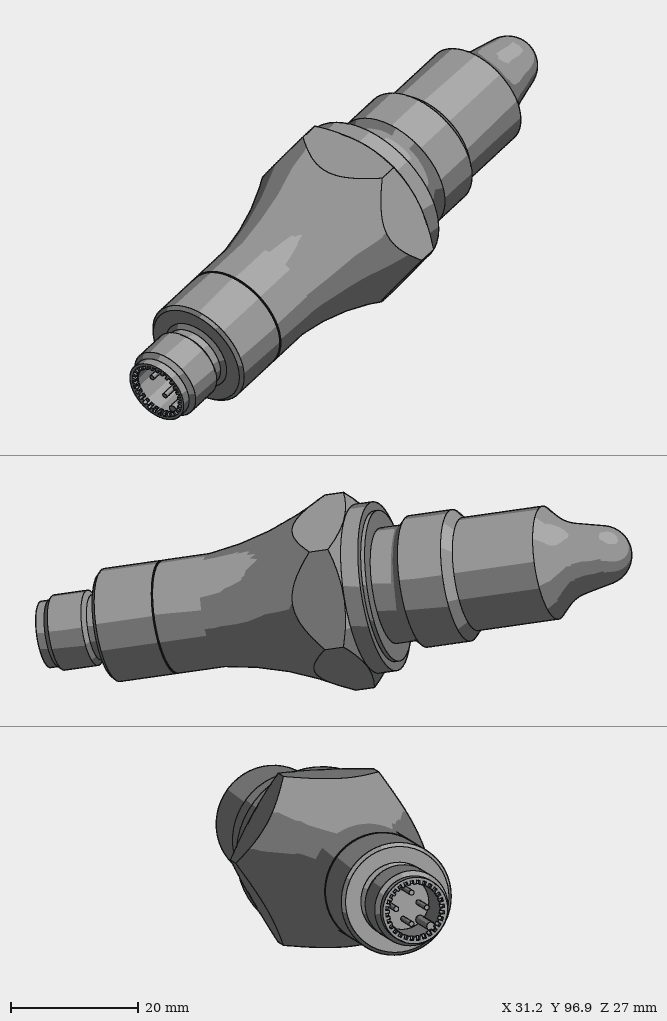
import cadquery as cq
import math


plug_rim_radius = 10.6 / 2
plug_rim_length = 1.4
plug_ring_radius = 12 / 2
plug_ring_start = 2.2
plug_ring_end = 7.75
plug_neck_radius = 10.4 / 2
plug_neck_start = 8.4
plug_neck_end = 9.8
plug_foot_radius = 5.95

socket_radius = 4.2
socket_depth = 7.0
tooth_count = 28
notch_outer_radius = 9.6 / 2
notch_width = 0.55
notch_depth = 0.8
pin_count = 4
pin_circle_radius = 2.5
pin_radius = 0.4
pin_recess = 2.1
key_radius = 0.7
key_circle_radius = 3.9
key_angle = -45
key_recess = 0.6

sleeve_radius = 18 / 2
sleeve_start = 10.4
sleeve_chamfer = 0.55
sleeve_end = 28.45
joint_position = 20.4
joint_width = 0.2
joint_depth = 0.1

hex_sides = 6
across_flats = 27.0
corner_radius = across_flats / 2 / math.cos(math.pi / hex_sides)
blank_allowance = 0.05
blank_radius = corner_radius + blank_allowance
flare_mid_radius = 12.4
flare_mid_position = 42.15
flare_end = 48.85
hex_front = 53.25
hex_chamfer_angle = math.radians(33)

flange_radius = 26.9 / 2
flange_front = 56.1
seat_radius = 24 / 2
seat_front = 56.75
neck_radius = 18.4 / 2
neck_end = 60.0
undercut_radius = 1.0
collar_radius = 20.95 / 2
collar_front = 68.82
shank_radius = 18 / 2
shank_end = 83.6

total_length = 96.85
tip_radius = 9.4 / 2
tip_half_angle = math.radians(12.3)
tip_cone_start = 88.5
shoulder_angle = math.radians(45)


def revolve_about_y(profile):
    """Close an outline drawn from the axis to the axis and turn it around Y."""
    return profile.close().revolve(360, (0, 0, 0), (0, 1, 0))


def plug_and_sleeve():
    outline = (
        cq.Workplane("XY")
        .lineTo(plug_rim_radius, 0)
        .lineTo(plug_rim_radius, plug_rim_length)
        .lineTo(plug_ring_radius, plug_ring_start)
        .lineTo(plug_ring_radius, plug_ring_end)
        .lineTo(plug_neck_radius, plug_neck_start)
        .lineTo(plug_neck_radius, plug_neck_end)
        .lineTo(plug_foot_radius, sleeve_start)
        .lineTo(sleeve_radius - sleeve_chamfer, sleeve_start)
        .lineTo(sleeve_radius, sleeve_start + sleeve_chamfer)
        .lineTo(sleeve_radius, joint_position)
        .lineTo(sleeve_radius - joint_depth, joint_position)
        .lineTo(sleeve_radius - joint_depth, joint_position + joint_width)
        .lineTo(sleeve_radius, joint_position + joint_width)
        .lineTo(sleeve_radius, sleeve_end)
        .lineTo(0, sleeve_end)
    )
    return revolve_about_y(outline)


def hex_body():
    """Hexagon prism trimmed by a flared rear and a chamfered front."""
    chamfer_length = (blank_radius - flange_radius) * math.tan(hex_chamfer_angle)
    outline = (
        cq.Workplane("XY")
        .moveTo(0, sleeve_end)
        .lineTo(sleeve_radius, sleeve_end)
        .threePointArc((flare_mid_radius, flare_mid_position), (blank_radius, flare_end))
        .lineTo(blank_radius, hex_front - chamfer_length)
        .lineTo(flange_radius, hex_front)
        .lineTo(0, hex_front)
    )
    prism = (
        cq.Workplane("XZ", origin=(0, sleeve_end, 0))
        .polygon(hex_sides, 2 * corner_radius)
        .extrude(sleeve_end - hex_front)
    )
    return revolve_about_y(outline).intersect(prism)


def shank_and_tip():
    fillet_edge_radius = neck_radius + undercut_radius * (1 - math.cos(shoulder_angle))
    fillet_edge = neck_end + undercut_radius * math.sin(shoulder_angle)
    collar_chamfer = collar_radius - fillet_edge_radius
    dome_centre = total_length - tip_radius
    dome_edge_radius = tip_radius * math.cos(tip_half_angle)
    dome_edge = dome_centre + tip_radius * math.sin(tip_half_angle)
    cone_base_radius = dome_edge_radius + (dome_edge - tip_cone_start) * math.tan(tip_half_angle)
    chord_slope = math.tan((tip_half_angle + shoulder_angle) / 2)
    arc_length = (shank_radius - cone_base_radius - (tip_cone_start - shank_end)) / (chord_slope - 1)
    arc_base_radius = cone_base_radius + arc_length * chord_slope
    arc_base = tip_cone_start - arc_length
    dome_mid_angle = (tip_half_angle + math.pi / 2) / 2
    dome_mid = (
        tip_radius * math.cos(dome_mid_angle),
        dome_centre + tip_radius * math.sin(dome_mid_angle),
    )
    outline = (
        cq.Workplane("XY")
        .moveTo(0, hex_front)
        .lineTo(flange_radius, hex_front)
        .lineTo(flange_radius, flange_front)
        .lineTo(seat_radius, flange_front)
        .lineTo(seat_radius, seat_front)
        .lineTo(neck_radius, seat_front)
        .lineTo(neck_radius, neck_end)
        .tangentArcPoint((fillet_edge_radius, fillet_edge), relative=False)
        .lineTo(collar_radius, fillet_edge + collar_chamfer)
        .lineTo(collar_radius, collar_front)
        .lineTo(shank_radius, collar_front + collar_radius - shank_radius)
        .lineTo(shank_radius, shank_end)
        .lineTo(arc_base_radius, arc_base)
        .tangentArcPoint((cone_base_radius, tip_cone_start), relative=False)
        .lineTo(dome_edge_radius, dome_edge)
        .threePointArc(dome_mid, (0, total_length))
    )
    return revolve_about_y(outline)


def socket():
    """Round cavity open at the plug end."""
    return cq.Workplane("XZ").circle(socket_radius).extrude(-socket_depth)


def rim_notches():
    """Radial notches around the mouth of the socket."""
    half_pitch = 180 / tooth_count
    notch_inner_radius = socket_radius / 2
    notch_length = notch_outer_radius - notch_inner_radius
    notch_centre = (notch_outer_radius + notch_inner_radius) / 2
    return (
        cq.Workplane("XZ")
        .polarArray(notch_centre, half_pitch, 360, tooth_count)
        .rect(notch_length, notch_width)
        .extrude(-notch_depth)
    )


def contact_pins():
    return (
        cq.Workplane("XZ", origin=(0, pin_recess, 0))
        .polarArray(pin_circle_radius, 0, 360, pin_count)
        .circle(pin_radius)
        .extrude(pin_recess - socket_depth)
    )


def coding_key():
    """Rounded rib along the socket wall in the +X -Z quadrant."""
    return (
        cq.Workplane("XZ", origin=(0, key_recess, 0))
        .polarArray(key_circle_radius, key_angle, 360, 1)
        .circle(key_radius)
        .extrude(key_recess - socket_depth)
    )


body = plug_and_sleeve().union(hex_body()).union(shank_and_tip())
body = body.cut(socket()).cut(rim_notches())
result = body.union(contact_pins()).union(coding_key())